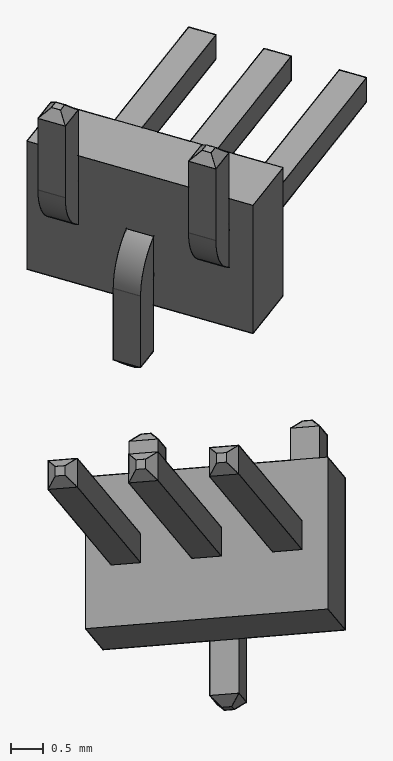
import cadquery as cq

housing_width = 3.81
housing_depth = 1.065
housing_height = 2.43

wire = 0.46
pitch = 1.27
contact_length = 3.965
tail_reach = 2.24
bend_outer_radius = 0.96
tip_chamfer = 0.155

pin_layout = [(-pitch, 1), (0, -1), (pitch, 1)]


def make_pin(x, tail_direction):
    """One bent pin; its tail lies against the housing face."""
    bend_y = bend_outer_radius - wire
    bend_z = bend_outer_radius - wire / 2
    contact_end = housing_depth + contact_length

    mid_radius = bend_outer_radius - wire / 2
    diagonal = mid_radius * 0.5**0.5
    path = (
        cq.Workplane("YZ")
        .moveTo(contact_end, 0)
        .lineTo(bend_y, 0)
        .threePointArc((bend_y - diagonal, bend_z - diagonal), (-wire / 2, bend_z))
        .lineTo(-wire / 2, tail_reach)
    )
    pin = cq.Workplane("XZ", origin=(0, contact_end, 0)).rect(wire, wire).sweep(path)
    pin = pin.faces(">Y").chamfer(tip_chamfer)
    pin = pin.faces(">Z").chamfer(tip_chamfer)

    if tail_direction < 0:
        pin = pin.rotate((0, 0, 0), (0, 1, 0), 180)
    return pin.translate((x, 0, 0))


def make_housing(pins):
    """Plain block with a matching passage for every pin."""
    housing = cq.Workplane("XY").box(
        housing_width, housing_depth, housing_height, centered=(True, False, True)
    )
    for pin in pins:
        housing = housing.cut(pin)
    return housing


pins = [make_pin(x, tail_direction) for x, tail_direction in pin_layout]
housing = make_housing(pins)

result = cq.Compound.makeCompound([housing.val(), *[pin.val() for pin in pins]])